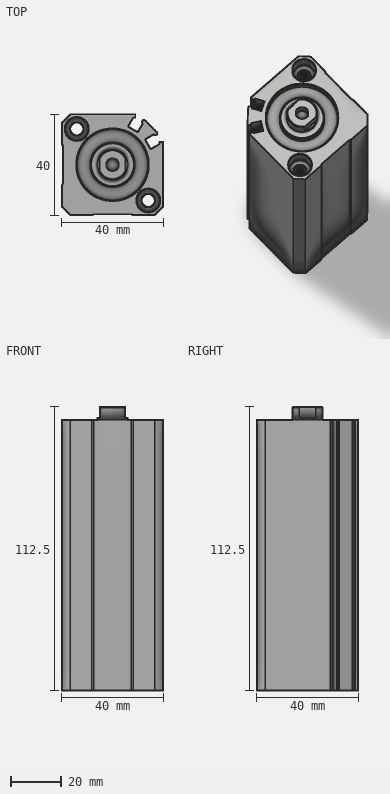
import cadquery as cq
import math

TOTAL_HEIGHT = 112.5
BODY_SIDE = 40.0
BODY_HEIGHT = 107.3
CORNER_CHAMFER = 3.4
SLOTTED_CORNER_CHAMFER = 9.6

RECESS_FLOOR_WIDTH = 15.0
RECESS_MOUTH_WIDTH = 16.3
RECESS_DEPTH = 0.3

SLOT_ANGLE_FROM_DIAGONAL = 15
SLOT_FLOOR_RADIUS = 16.2
SLOT_WALL_END_RADIUS = 20.1
LIP_START_RADIUS = 20.5
SIDE_LIP_END_RADIUS = 20.9
CORNER_LIP_END_RADIUS = 21.5
SLOT_OUTER_RADIUS = 23.6
SLOT_HALF_WIDTH = 2.19
LIP_HALF_GAP = 1.6
SIDE_LIP_FLARE = 30
CORNER_LIP_FLARE = 60

MOUNT_OFFSET = 14.2
MOUNT_HOLE_DIAMETER = 5.1
MOUNT_HOLE_CHAMFER = 0.2
COUNTERBORE_DIAMETER = 9.0
COUNTERBORE_DEPTH = 7.0
COUNTERBORE_CHAMFER = 0.28

POCKET_DIAMETER = 28.1
POCKET_DEPTH = 2.9
POCKET_CHAMFER = 0.39
BOSS_DIAMETER = 17.8
BOSS_HEIGHT = 2.6
BOSS_CHAMFER = 0.5

ROD_DIAMETER = 12.0
ROD_TOP_CHAMFER = 0.3
FLATS_WIDTH = 10.0
FLATS_HEIGHT = 4.4
ROD_BORE_DIAMETER = 5.1
ROD_BORE_DEPTH = 4.5

POCKET_FLOOR_Z = BODY_HEIGHT - POCKET_DEPTH
BOSS_TOP_Z = POCKET_FLOOR_Z + BOSS_HEIGHT
HALF_SIDE = BODY_SIDE / 2


def block():
    """Square bar with three small corner chamfers and one large one at +X +Y."""
    small = HALF_SIDE - CORNER_CHAMFER
    large = HALF_SIDE - SLOTTED_CORNER_CHAMFER
    outline = [
        (-small, -HALF_SIDE),
        (small, -HALF_SIDE),
        (HALF_SIDE, -small),
        (HALF_SIDE, large),
        (large, HALF_SIDE),
        (-small, HALF_SIDE),
        (-HALF_SIDE, small),
        (-HALF_SIDE, -small),
    ]
    return cq.Workplane("XY").polyline(outline).close().extrude(BODY_HEIGHT)


def side_recess():
    """Trapezoidal bar that cuts the shallow recess in the -Y side."""
    half_floor = RECESS_FLOOR_WIDTH / 2
    half_mouth = RECESS_MOUTH_WIDTH / 2
    floor_y = -HALF_SIDE + RECESS_DEPTH
    outline = [
        (-half_mouth, -HALF_SIDE),
        (half_mouth, -HALF_SIDE),
        (half_floor, floor_y),
        (-half_floor, floor_y),
    ]
    return cq.Workplane("XY").polyline(outline).close().extrude(BODY_HEIGHT)


def slot_wall(lip_end_radius, flare_angle):
    """Points of one slot wall as (radius, half width), from the slot floor out to the mouth."""
    flare = (SLOT_OUTER_RADIUS - lip_end_radius) * math.tan(math.radians(flare_angle))
    return [
        (SLOT_FLOOR_RADIUS, SLOT_HALF_WIDTH),
        (SLOT_WALL_END_RADIUS, SLOT_HALF_WIDTH),
        (LIP_START_RADIUS, LIP_HALF_GAP),
        (lip_end_radius, LIP_HALF_GAP),
        (SLOT_OUTER_RADIUS, LIP_HALF_GAP + flare),
    ]


def sensor_slot(side):
    """Full-height lipped slot, on the +Y side (1) or the +X side (-1) of the corner diagonal."""
    side_wall = slot_wall(SIDE_LIP_END_RADIUS, SIDE_LIP_FLARE)
    corner_wall = slot_wall(CORNER_LIP_END_RADIUS, CORNER_LIP_FLARE)
    outline = [(radius, side * width) for radius, width in side_wall]
    outline += [(radius, -side * width) for radius, width in reversed(corner_wall)]
    slot = cq.Workplane("XY").polyline(outline).close().extrude(BODY_HEIGHT)
    return slot.rotate((0, 0, 0), (0, 0, 1), 45 + side * SLOT_ANGLE_FROM_DIAGONAL)


def chamfered_bore(diameter, depth, chamfer, top_z):
    """Round cutter sunk to a depth below top_z, widened at its mouth by a 45 degree chamfer."""
    radius = diameter / 2
    profile = [
        (0, top_z - depth),
        (radius, top_z - depth),
        (radius, top_z - chamfer),
        (radius + chamfer, top_z),
        (0, top_z),
    ]
    return cq.Workplane("XZ").polyline(profile).close().revolve(360, (0, 0), (0, 1))


def mounting_hole(x, y):
    """Through hole with a counterbore at the top, both chamfered at the mouth."""
    floor_z = BODY_HEIGHT - COUNTERBORE_DEPTH
    hole = chamfered_bore(MOUNT_HOLE_DIAMETER, floor_z, MOUNT_HOLE_CHAMFER, floor_z)
    counterbore = chamfered_bore(COUNTERBORE_DIAMETER, COUNTERBORE_DEPTH, COUNTERBORE_CHAMFER, BODY_HEIGHT)
    return hole.union(counterbore).translate((x, y, 0))


def rod_boss():
    """Chamfered round boss standing on the pocket floor."""
    boss = cq.Workplane("XY", origin=(0, 0, POCKET_FLOOR_Z)).circle(BOSS_DIAMETER / 2).extrude(BOSS_HEIGHT)
    return boss.faces(">Z").chamfer(BOSS_CHAMFER)


def make_housing():
    """Cylinder housing."""
    housing = block()
    for turn in (0, -90):
        housing = housing.cut(side_recess().rotate((0, 0, 0), (0, 0, 1), turn))
    for side in (-1, 1):
        housing = housing.cut(sensor_slot(side))
        housing = housing.cut(mounting_hole(side * MOUNT_OFFSET, -side * MOUNT_OFFSET))
    pocket = chamfered_bore(POCKET_DIAMETER, POCKET_DEPTH, POCKET_CHAMFER, BODY_HEIGHT)
    housing = housing.cut(pocket)
    return housing.union(rod_boss())


def make_rod():
    """Rod end standing on the boss, with two wrench flats and a blind bore in its top."""
    height = TOTAL_HEIGHT - BOSS_TOP_Z
    rod = cq.Workplane("XY", origin=(0, 0, BOSS_TOP_Z)).circle(ROD_DIAMETER / 2).extrude(height)
    rod = rod.faces(">Z").chamfer(ROD_TOP_CHAMFER)
    flat_depth = (ROD_DIAMETER - FLATS_WIDTH) / 2
    for side in (-1, 1):
        flat = cq.Workplane("XY").box(flat_depth, ROD_DIAMETER, FLATS_HEIGHT)
        flat_x = side * (FLATS_WIDTH + flat_depth) / 2
        rod = rod.cut(flat.translate((flat_x, 0, TOTAL_HEIGHT - FLATS_HEIGHT / 2)))
    return rod.faces(">Z").workplane(origin=(0, 0, 0)).hole(ROD_BORE_DIAMETER, ROD_BORE_DEPTH)


housing = make_housing()
rod = make_rod()
result = cq.Compound.makeCompound([housing.val(), rod.val()])